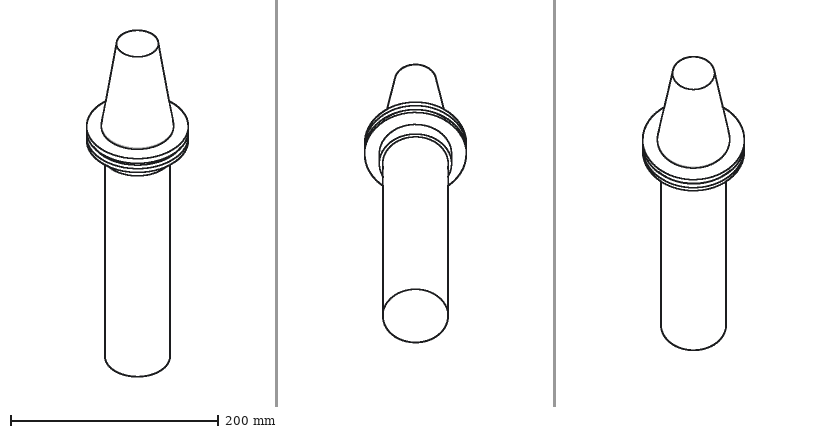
import cadquery as cq

total_height = 390.5

shank_radius = 63.3 / 2
shank_height = 254.0
collar_radius = 70.0 / 2

flange_radius = 98.5 / 2
flange_bottom = 270.0
lower_rim_height = 4.5
upper_rim_height = 6.0
flange_height = 17.0
groove_floor_radius = 91.5 / 2
groove_floor_height = 3.5

neck_height = 2.0
taper_base_radius = 70.0 / 2
taper_top_radius = 20.5

flange_top = flange_bottom + flange_height
groove_bottom = flange_bottom + lower_rim_height
groove_top = flange_top - upper_rim_height
groove_middle = (groove_bottom + groove_top) / 2
taper_bottom = flange_top + neck_height

profile = (
    cq.Workplane("XZ")
    .lineTo(shank_radius, 0)
    .lineTo(shank_radius, shank_height)
    .lineTo(collar_radius, shank_height)
    .lineTo(collar_radius, flange_bottom)
    .lineTo(flange_radius, flange_bottom)
    .lineTo(flange_radius, groove_bottom)
    .lineTo(groove_floor_radius, groove_middle - groove_floor_height / 2)
    .lineTo(groove_floor_radius, groove_middle + groove_floor_height / 2)
    .lineTo(flange_radius, groove_top)
    .lineTo(flange_radius, flange_top)
    .lineTo(taper_base_radius, flange_top)
    .lineTo(taper_base_radius, taper_bottom)
    .lineTo(taper_top_radius, total_height)
    .lineTo(0, total_height)
    .close()
)

result = profile.revolve(360, (0, 0), (0, 1))